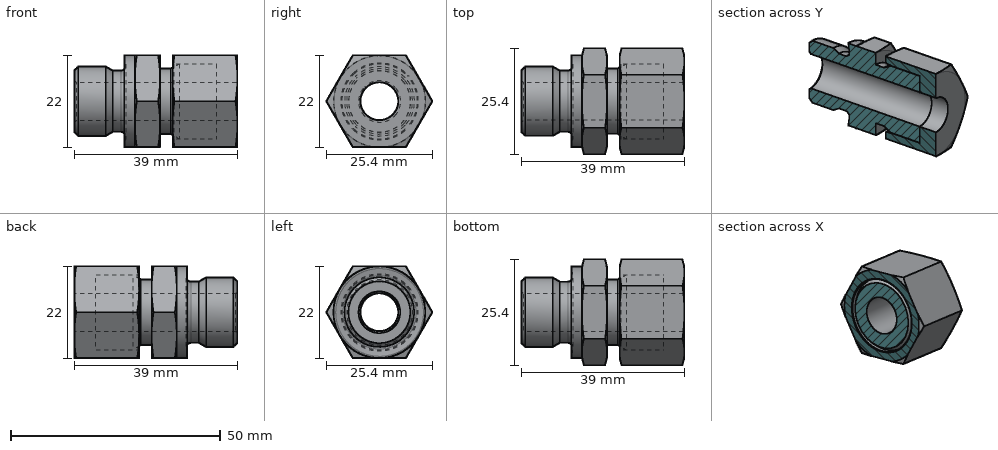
import cadquery as cq
import math


hex_across_flats = 22.0
hex_chamfer_angle = 15.0
hex_chamfer_radius = 10.95

flange_start = 12.0
hex_start = 14.5
hex_end = 20.5
nut_start = 23.5
nut_end = 39.0
nut_wall = 5.0
nut_mouth_chamfer = 0.25

stud_radius = 8.33
stud_tip_radius = 7.4
stud_tip_length = 1.0
stud_length = 7.5
neck_radius = 7.35
neck_end = 11.1
runout_angle = 30.0

flange_radius = hex_across_flats / 2
sealing_edge_radius = 10.5
recess_radius = 8.75
recess_depth = 0.28

stem_groove_radius = 7.85
stem_groove_end = 23.05
stem_radius = 9.0
stem_end = nut_end - nut_wall

bore_radius = 4.5
bore_chamfer = 0.5

runout_slope = math.tan(math.radians(runout_angle))
neck_start = stud_length + (stud_radius - neck_radius) / runout_slope
stem_start = stem_groove_end + (stem_radius - stem_groove_radius) / runout_slope


def revolve_about_x(profile):
    """Turn a closed (x, radius) profile fully around the X axis."""
    return profile.close().revolve(360, (0, 0, 0), (1, 0, 0))


def chamfered_hexagon(start, end):
    """Hexagonal prism with flats at +Z and -Z and conically chamfered ends."""
    corner_radius = hex_across_flats / 2 / math.cos(math.pi / 6)
    setback = (corner_radius - hex_chamfer_radius) * math.tan(math.radians(hex_chamfer_angle))
    prism = (
        cq.Workplane("YZ").workplane(offset=start)
        .polygon(6, 2 * corner_radius)
        .extrude(end - start)
    )
    envelope = revolve_about_x(
        cq.Workplane("XY")
        .moveTo(start, 0)
        .lineTo(start, hex_chamfer_radius)
        .lineTo(start + setback, corner_radius)
        .lineTo(end - setback, corner_radius)
        .lineTo(end, hex_chamfer_radius)
        .lineTo(end, 0)
    )
    return prism.intersect(envelope)


def make_stud_and_flange():
    """Chamfered stud, relief neck and flange with its recessed sealing face."""
    return revolve_about_x(
        cq.Workplane("XY")
        .moveTo(0, 0)
        .lineTo(0, stud_tip_radius)
        .lineTo(stud_tip_length, stud_radius)
        .lineTo(stud_length, stud_radius)
        .lineTo(neck_start, neck_radius)
        .lineTo(neck_end, neck_radius)
        .tangentArcPoint((flange_start + recess_depth, recess_radius), relative=False)
        .lineTo(flange_start, sealing_edge_radius)
        .lineTo(flange_start, flange_radius)
        .lineTo(hex_start, flange_radius)
        .lineTo(hex_start, 0)
    )


def make_stem():
    """Rear stem with a relief groove that widens to full radius inside the nut."""
    return revolve_about_x(
        cq.Workplane("XY")
        .moveTo(hex_end, 0)
        .lineTo(hex_end, stem_groove_radius)
        .lineTo(stem_groove_end, stem_groove_radius)
        .lineTo(stem_start, stem_radius)
        .lineTo(stem_end, stem_radius)
        .lineTo(stem_end, 0)
    )


def make_body_bore():
    """Through bore with a chamfered mouth at the stud end."""
    return revolve_about_x(
        cq.Workplane("XY")
        .moveTo(0, 0)
        .lineTo(0, bore_radius + bore_chamfer)
        .lineTo(bore_chamfer, bore_radius)
        .lineTo(stem_end, bore_radius)
        .lineTo(stem_end, 0)
    )


def make_fitting_body():
    """Stud, flange, hexagon and stem in one piece, bored through."""
    return (
        make_stud_and_flange()
        .union(chamfered_hexagon(hex_start, hex_end))
        .union(make_stem())
        .cut(make_body_bore())
    )


def make_nut_recess():
    """Space for the stem inside the nut, with a chamfered mouth."""
    return revolve_about_x(
        cq.Workplane("XY")
        .moveTo(nut_start, 0)
        .lineTo(nut_start, stem_radius + nut_mouth_chamfer)
        .lineTo(nut_start + nut_mouth_chamfer, stem_radius)
        .lineTo(stem_end, stem_radius)
        .lineTo(stem_end, 0)
    )


def make_wall_bore():
    """Hole through the rear wall of the nut, in line with the bore of the body."""
    return cq.Workplane("YZ").workplane(offset=stem_end).circle(bore_radius).extrude(nut_wall)


def make_union_nut():
    """Hexagonal nut with a recess for the stem and the bore through its rear wall."""
    return (
        chamfered_hexagon(nut_start, nut_end)
        .cut(make_nut_recess())
        .cut(make_wall_bore())
    )


fitting_body = make_fitting_body()
union_nut = make_union_nut()

result = cq.Compound.makeCompound([fitting_body.solids().val(), union_nut.solids().val()])